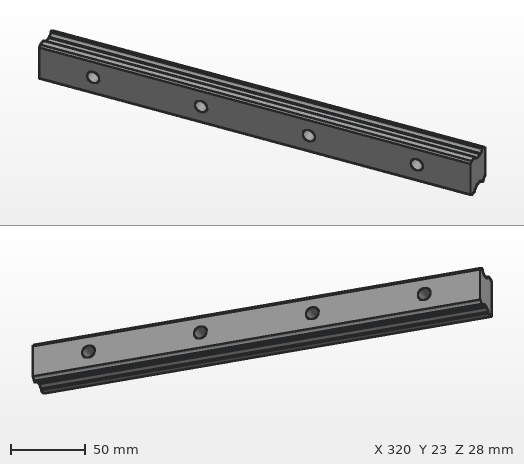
import math

import cadquery as cq

length = 320.0
width = 23.0
height = 28.0

round_radius = 2.5
tooth_width = 2.5
tooth_chamfer = 0.4

groove_depth = 3.0
floor_width = 4.9
slope_width = 3.2
slope_rise = 1.7

front_chamfer = 1.5

hole_diameter = 9.0
hole_count = 4
hole_pitch = length / hole_count


def section_point(from_back, depth):
    """Point on the YZ plane, given its distance from the back face and from the top."""
    return width / 2 - from_back, height / 2 - depth


def round_point(center, side, angle):
    """Point on a round centred at the top plane; the angle is measured from straight down."""
    across = side * round_radius * math.sin(math.radians(angle))
    return section_point(center + across, round_radius * math.cos(math.radians(angle)))


def make_upper_half():
    """Half of the bar above its middle plane, with the tooth and groove profile along its top."""
    front_round_center = 2 * round_radius + tooth_width
    tooth_front = round_radius + tooth_width
    round_end = math.degrees(math.acos(tooth_chamfer / round_radius))

    floor_back = front_round_center + groove_depth - round_radius
    floor_front = floor_back + floor_width
    wall = floor_front + slope_width

    return (
        cq.Workplane("YZ", origin=(-length / 2, 0, 0))
        .moveTo(*section_point(0, height / 2))
        .lineTo(*round_point(0, 1, 0))
        .threePointArc(round_point(0, 1, round_end / 2), round_point(0, 1, round_end))
        .lineTo(*section_point(round_radius + tooth_chamfer, 0))
        .lineTo(*section_point(tooth_front - tooth_chamfer, 0))
        .lineTo(*round_point(front_round_center, -1, round_end))
        .threePointArc(
            round_point(front_round_center, -1, round_end / 2),
            round_point(front_round_center, -1, 0),
        )
        .lineTo(*section_point(floor_back, groove_depth))
        .lineTo(*section_point(floor_front, groove_depth))
        .lineTo(*section_point(wall, groove_depth - slope_rise))
        .lineTo(*section_point(wall, 0))
        .lineTo(*section_point(width - front_chamfer, 0))
        .lineTo(*section_point(width, front_chamfer))
        .lineTo(*section_point(width, height / 2))
        .close()
        .extrude(length)
    )


def make_holes():
    """Row of through holes along Y, centred on the bar."""
    first_x = -hole_pitch * (hole_count - 1) / 2
    centers = [(first_x + i * hole_pitch, 0) for i in range(hole_count)]
    return cq.Workplane("XZ").pushPoints(centers).circle(hole_diameter / 2).extrude(width / 2, both=True)


upper_half = make_upper_half()
bar = upper_half.union(upper_half.mirror("XY")).clean()
result = bar.cut(make_holes())